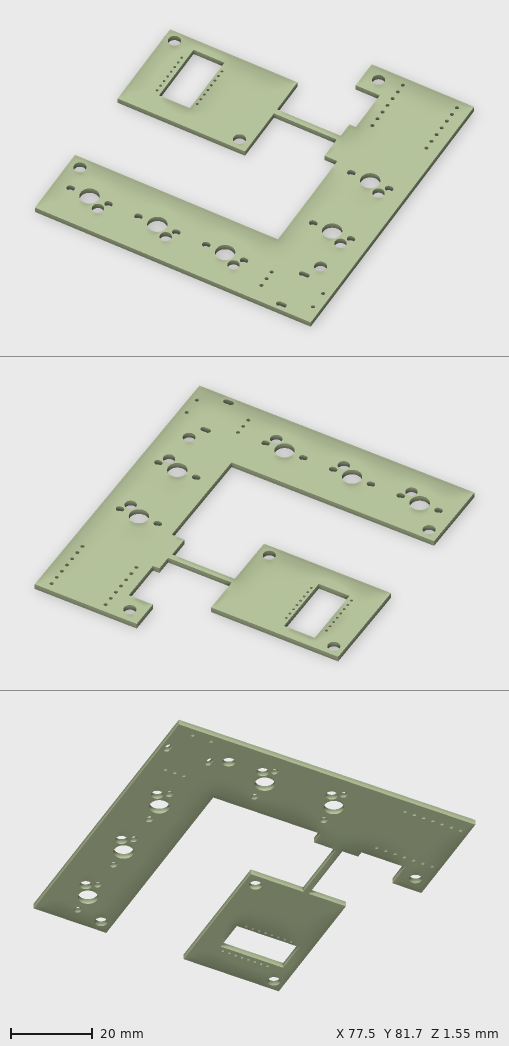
import cadquery as cq

board_width = 77.45
board_height = 81.7
board_thickness = 1.55

bottom_arm_top = 20.0
column_left = 57.0

shoulder_left = 53.4
shoulder_bottom = 49.7
ledge_left = 53.7
ledge_top = 61.7
neck_left = 55.5
mount_tab_left = 48.7
mount_tab_bottom = 73.7

display_right = 35.8
display_bottom = 41.3
display_top = 67.6
bridge_bottom = 55.8
bridge_top = 57.35
window_left, window_right = 8.3, 17.0
window_bottom, window_top = 47.2, 64.5

mount_hole_diameter = 3.2
mount_hole_centers = [(3.1, 17.0), (70.5, 17.3), (32.6, 44.3), (2.8, 64.8), (52.7, 78.0)]

key_pitch = 19.0
first_key_x = 9.8
first_key_y = 9.9
key_column_x = 67.2
key_center_diameter = 5.0
key_pin_diameter = 3.0
key_pin_offset = (3.75, -2.5)
key_side_spacing = 10.6
key_side_slot_length = 2.1
key_side_slot_width = 1.7

display_pin_diameter = 0.7
display_pin_count = 8
display_row_length = 12.3
display_row_tops = [(7.1, 60.8), (17.9, 61.7)]

header_pin_diameter = 1.0
controller_pin_count = 7
controller_row_length = 15.3
controller_row_xs = [58.75, 73.9]
controller_row_top = 79.4

encoder_x = 68.3
encoder_y = 7.35
encoder_pin_pitch = 2.5
encoder_terminal_x = encoder_x - 7.35
encoder_switch_x = encoder_x + 7.1
encoder_lug_spacing = 11.35
encoder_lug_length = 2.8
encoder_lug_width = 1.5


def make_board():
    outline = [
        (0, 0),
        (board_width, 0),
        (board_width, board_height),
        (mount_tab_left, board_height),
        (mount_tab_left, mount_tab_bottom),
        (neck_left, mount_tab_bottom),
        (neck_left, ledge_top),
        (ledge_left, ledge_top),
        (ledge_left, bridge_top),
        (display_right, bridge_top),
        (display_right, display_top),
        (0, display_top),
        (0, display_bottom),
        (display_right, display_bottom),
        (display_right, bridge_bottom),
        (shoulder_left, bridge_bottom),
        (shoulder_left, shoulder_bottom),
        (column_left, shoulder_bottom),
        (column_left, bottom_arm_top),
        (0, bottom_arm_top),
    ]
    return cq.Workplane("XY").polyline(outline).close().extrude(board_thickness)


def drill(board, centers, diameter):
    cutter = cq.Workplane("XY").pushPoints(centers).circle(diameter / 2).extrude(board_thickness)
    return board.cut(cutter)


def cut_slots(board, centers, length, width):
    cutter = cq.Workplane("XY").pushPoints(centers).slot2D(length, width).extrude(board_thickness)
    return board.cut(cutter)


def cut_window(board):
    cutter = (
        cq.Workplane("XY")
        .moveTo(window_left, window_bottom)
        .rect(window_right - window_left, window_top - window_bottom, centered=False)
        .extrude(board_thickness)
    )
    return board.cut(cutter)


def pins_down(x, top, pitch, count):
    return [(x, top - i * pitch) for i in range(count)]


def cut_keys(board):
    row = [(first_key_x + i * key_pitch, first_key_y) for i in range(3)]
    column = [(key_column_x, first_key_y + i * key_pitch) for i in (1, 2)]
    keys = row + column

    pin_dx, pin_dy = key_pin_offset
    pins = [(x + pin_dx, y + pin_dy) for x, y in keys]
    sides = [(x + side * key_side_spacing / 2, y) for x, y in keys for side in (-1, 1)]
    board = drill(board, keys, key_center_diameter)
    board = drill(board, pins, key_pin_diameter)
    return cut_slots(board, sides, key_side_slot_length, key_side_slot_width)


def drill_display_pins(board):
    pitch = display_row_length / (display_pin_count - 1)
    for x, top in display_row_tops:
        board = drill(board, pins_down(x, top, pitch, display_pin_count), display_pin_diameter)
    return board


def drill_controller_pins(board):
    pitch = controller_row_length / (controller_pin_count - 1)
    for x in controller_row_xs:
        pins = pins_down(x, controller_row_top, pitch, controller_pin_count)
        board = drill(board, pins, header_pin_diameter)
    return board


def cut_encoder(board):
    top = encoder_y + encoder_pin_pitch
    terminals = pins_down(encoder_terminal_x, top, encoder_pin_pitch, 3)
    switch_pins = pins_down(encoder_switch_x, top, 2 * encoder_pin_pitch, 2)
    lugs = [(encoder_x, encoder_y + side * encoder_lug_spacing / 2) for side in (-1, 1)]
    board = drill(board, terminals + switch_pins, header_pin_diameter)
    return cut_slots(board, lugs, encoder_lug_length, encoder_lug_width)


result = make_board()
result = cut_window(result)
result = drill(result, mount_hole_centers, mount_hole_diameter)
result = cut_keys(result)
result = drill_display_pins(result)
result = drill_controller_pins(result)
result = cut_encoder(result)